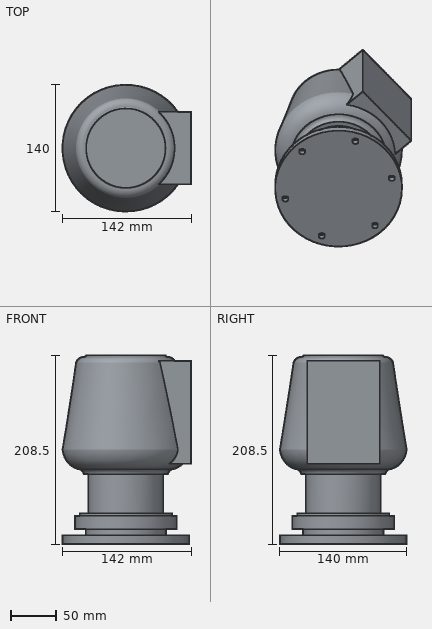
import cadquery as cq
import math

FLANGE_RADIUS = 70.0
FLANGE_TOP_Z = 10.0
BOLT_COUNT = 6
BOLT_CIRCLE_RADIUS = 60.0
BOLT_HOLE_DIAMETER = 6.5
FIRST_BOLT_ANGLE = 30.0

NECK_RADIUS = 44.5
NECK_TOP_Z = 16.7
COLLAR_RADIUS = 56.4
COLLAR_TOP_Z = 31.2
STEP_RADIUS = 51.0
STEP_TOP_Z = 34.2
COLUMN_RADIUS = 41.5

HOUSING_BOTTOM_Z = 77.3
FOOT_RADIUS = 46.5
FOOT_FLARE_RADIUS = 6.5
BELLY_START_RADIUS = 53.0
BELLY_START_Z = 82.8
BELLY_ARC_RADIUS = 25.0
CONE_BOTTOM_RADIUS = 70.0
CONE_BOTTOM_Z = 104.5
CONE_TOP_RADIUS = 55.0
CONE_TOP_Z = 200.0
SHOULDER_ARC_RADIUS = 9.5
SHOULDER_TOP_Z = 206.7
CAP_RADIUS = 43.8
CAP_TOP_Z = 208.5
CAP_FILLET_RADIUS = CAP_TOP_Z - SHOULDER_TOP_Z
SHOULDER_TOP_RADIUS = CAP_RADIUS + CAP_FILLET_RADIUS

BOX_END_X = 72.0
BOX_WIDTH = 80.0
BOX_BOTTOM_Z = 88.6
BOX_TOP_Z = 202.3


def disc(radius, bottom_z, top_z):
    """Cylinder about the Z axis between two heights."""
    return cq.Workplane("XY").workplane(offset=bottom_z).circle(radius).extrude(top_z - bottom_z)


def arc_middle(start, end, radius, side):
    """Midpoint of the arc joining two (radius, z) points; side +1 bulges right of the travel, -1 left."""
    run = end[0] - start[0]
    rise = end[1] - start[1]
    chord = math.hypot(run, rise)
    bulge = radius - math.sqrt(radius**2 - (chord / 2) ** 2)
    middle_r = (start[0] + end[0]) / 2 + side * bulge * rise / chord
    middle_z = (start[1] + end[1]) / 2 - side * bulge * run / chord
    return (middle_r, middle_z)


def make_flange():
    """Round base flange with a ring of through holes."""
    holes = (
        cq.Workplane("XY")
        .polarArray(BOLT_CIRCLE_RADIUS, FIRST_BOLT_ANGLE, 360, BOLT_COUNT)
        .circle(BOLT_HOLE_DIAMETER / 2)
        .extrude(FLANGE_TOP_Z)
    )
    return disc(FLANGE_RADIUS, 0, FLANGE_TOP_Z).cut(holes)


def make_pedestal():
    """Neck, collar, step and column between the flange and the housing."""
    neck = disc(NECK_RADIUS, FLANGE_TOP_Z, NECK_TOP_Z)
    collar = disc(COLLAR_RADIUS, NECK_TOP_Z, COLLAR_TOP_Z)
    step = disc(STEP_RADIUS, COLLAR_TOP_Z, STEP_TOP_Z)
    column = disc(COLUMN_RADIUS, STEP_TOP_Z, HOUSING_BOTTOM_Z)
    return neck.union(collar).union(step).union(column)


def make_housing():
    """Housing revolved about the Z axis."""
    foot = (FOOT_RADIUS, HOUSING_BOTTOM_Z)
    belly_start = (BELLY_START_RADIUS, BELLY_START_Z)
    cone_bottom = (CONE_BOTTOM_RADIUS, CONE_BOTTOM_Z)
    cone_top = (CONE_TOP_RADIUS, CONE_TOP_Z)
    shoulder_top = (SHOULDER_TOP_RADIUS, SHOULDER_TOP_Z)
    cap_edge = (CAP_RADIUS, CAP_TOP_Z)
    return (
        cq.Workplane("XZ")
        .moveTo(0, HOUSING_BOTTOM_Z)
        .lineTo(*foot)
        .threePointArc(arc_middle(foot, belly_start, FOOT_FLARE_RADIUS, -1), belly_start)
        .threePointArc(arc_middle(belly_start, cone_bottom, BELLY_ARC_RADIUS, 1), cone_bottom)
        .lineTo(*cone_top)
        .threePointArc(arc_middle(cone_top, shoulder_top, SHOULDER_ARC_RADIUS, 1), shoulder_top)
        .threePointArc(arc_middle(shoulder_top, cap_edge, CAP_FILLET_RADIUS, -1), cap_edge)
        .lineTo(0, CAP_TOP_Z)
        .close()
        .revolve(360, (0, 0, 0), (0, 1, 0))
    )


def make_box():
    """Box running from the housing axis out to its +X face."""
    box_height = BOX_TOP_Z - BOX_BOTTOM_Z
    return (
        cq.Workplane("XY")
        .box(BOX_END_X, BOX_WIDTH, box_height, centered=(False, True, False))
        .translate((0, 0, BOX_BOTTOM_Z))
    )


result = make_flange().union(make_pedestal()).union(make_housing()).union(make_box())